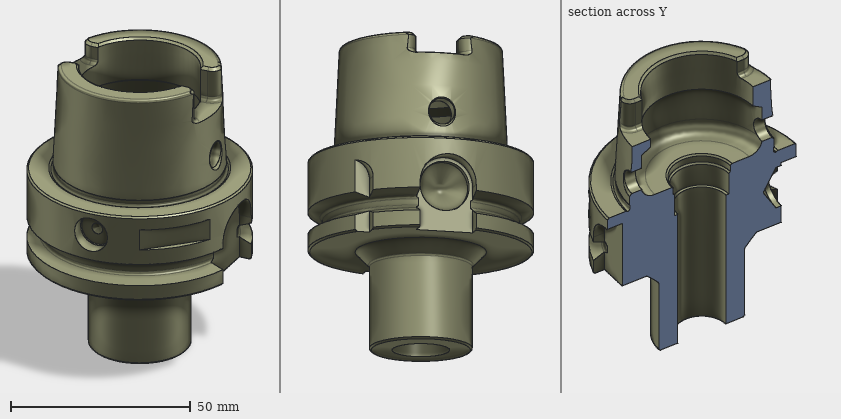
import cadquery as cq
import math

overall_height = 86.0
flange_bottom_z = 28.0
flange_face_z = 54.0
taper_bottom_z = 55.7
cavity_floor_z = 55.9
coolant_seat_z = 45.6

taper_bottom_radius = 24.25
taper_ratio = 0.05
taper_top_radius = taper_bottom_radius - taper_ratio * (overall_height - taper_bottom_z)
rim_rounding = 0.9
bore_radius = 17.0
bore_chamfer = 0.7
bore_bottom_z = 73.1
clamp_radius = 20.0
clamp_angle = 30.0
cavity_corner_radius = 4.3

neck_radius = 24.0
neck_chamfer = taper_bottom_radius - neck_radius
relief_top_z = 54.5
relief_width = 0.8
relief_depth = 0.35
relief_outer_radius = 25.4

flange_diameter = 63.0
flange_radius = flange_diameter / 2
flange_chamfer = 0.5
groove_upper_z = 39.3
groove_lower_z = 32.8
groove_root_radius = 27.5
groove_flank_rise = 1.7
groove_root_fillet = 1.0

stub_radius = 14.4
stub_chamfer = 0.5
cone_top_radius = 18.3
cone_height = cone_top_radius - stub_radius
stub_fillet = 0.9

passage_radius = 8.0
thread_radius = 8.95
thread_relief_radius = 9.5
thread_relief_depth = 2.6
passage_mouth_radius = 10.0

notch_half_width = 6.2
notch_straight_x = 18.1
notch_corner_radius = 2.9
notch_floor_fillet = 1.4
notch_chamfer_taper = -45.0
deep_notch_floor_z = 75.9
shallow_notch_floor_z = 80.0

cross_hole_z = 63.1
cross_hole_radius = 3.7
cross_hole_chamfer = 0.5

keyway_center_z = 41.0
keyway_floor_x = 26.5
narrow_keyway_radius = 8.1
wide_keyway_radius = 9.0
keyway_drill_radius = 7.05
keyway_drill_depth = 1.7
drill_point_angle = 118.0

orientation_floor_x = 20.2
orientation_center_y = 25.5
orientation_center_z = 43.2
orientation_radius = 5.5

pocket_z = 47.0
pocket_radius = 5.1
pocket_depth = 4.5
pocket_corner_chamfer = 0.3
pocket_mark_radius = 1.6
label_distance = 29.75
label_bottom_z = 43.9
label_height = 6.2
label_angle = -45.0

clearance = 8.6
selection_margin = 0.1


def drill_tip_depth(radius):
    """Height of the conical tip left by a drill of the given radius."""
    return radius / math.tan(math.radians(drill_point_angle / 2))


def revolve_profile(outline):
    """Turn a closed (radius, height) outline about the Z axis."""
    return outline.close().revolve(360, (0, 0, 0), (0, 1, 0))


def ring_selector(radius, z):
    """Select the circular edge of the given radius at height z."""
    reach = radius + selection_margin
    return cq.selectors.BoxSelector(
        (-reach, -reach, z - selection_margin),
        (reach, reach, z + selection_margin),
        boundingbox=True,
    )


def make_body():
    """Solid turned shape, from the stub to the rounded rim."""
    relief_bottom_z = flange_face_z - relief_depth
    relief_inner_radius = neck_radius + relief_width
    relief_drop = relief_top_z - relief_bottom_z
    arc_middle = (
        relief_inner_radius - relief_width * math.cos(math.pi / 4),
        relief_top_z - relief_drop * math.sin(math.pi / 4),
    )
    body = revolve_profile(
        cq.Workplane("YZ")
        .moveTo(0, 0)
        .lineTo(stub_radius - stub_chamfer, 0)
        .lineTo(stub_radius, stub_chamfer)
        .lineTo(stub_radius, flange_bottom_z - cone_height)
        .lineTo(cone_top_radius, flange_bottom_z)
        .lineTo(flange_radius - flange_chamfer, flange_bottom_z)
        .lineTo(flange_radius, flange_bottom_z + flange_chamfer)
        .lineTo(flange_radius, groove_lower_z)
        .lineTo(groove_root_radius, groove_lower_z + groove_flank_rise)
        .lineTo(groove_root_radius, groove_upper_z - groove_flank_rise)
        .lineTo(flange_radius, groove_upper_z)
        .lineTo(flange_radius, flange_face_z - flange_chamfer)
        .lineTo(flange_radius - flange_chamfer, flange_face_z)
        .lineTo(relief_outer_radius, flange_face_z)
        .lineTo(relief_inner_radius, relief_bottom_z)
        .threePointArc(arc_middle, (neck_radius, relief_top_z))
        .lineTo(neck_radius, taper_bottom_z - neck_chamfer)
        .lineTo(taper_bottom_radius, taper_bottom_z)
        .lineTo(taper_top_radius, overall_height)
        .lineTo(0, overall_height)
    )
    body = body.faces(">Z").edges().fillet(rim_rounding)
    root_low = groove_lower_z + groove_flank_rise
    root_high = groove_upper_z - groove_flank_rise
    body = body.edges(ring_selector(groove_root_radius, root_low)).fillet(groove_root_fillet)
    body = body.edges(ring_selector(groove_root_radius, root_high)).fillet(groove_root_fillet)
    return body.edges(ring_selector(stub_radius, flange_bottom_z - cone_height)).fillet(stub_fillet)


def make_cavity():
    """Chamfered bore, clamping undercut and rounded floor of the hollow shank."""
    clamp_drop = (clamp_radius - bore_radius) * math.tan(math.radians(clamp_angle))
    corner_middle = (
        clamp_radius - cavity_corner_radius * (1 - math.cos(math.pi / 4)),
        cavity_floor_z + cavity_corner_radius * (1 - math.sin(math.pi / 4)),
    )
    return revolve_profile(
        cq.Workplane("YZ")
        .moveTo(0, cavity_floor_z)
        .lineTo(clamp_radius - cavity_corner_radius, cavity_floor_z)
        .threePointArc(corner_middle, (clamp_radius, cavity_floor_z + cavity_corner_radius))
        .lineTo(clamp_radius, bore_bottom_z - clamp_drop)
        .lineTo(bore_radius, bore_bottom_z)
        .lineTo(bore_radius, overall_height - bore_chamfer)
        .lineTo(bore_radius + bore_chamfer, overall_height)
        .lineTo(0, overall_height)
    )


def make_passage():
    """Through passage with the coolant-tube thread below the cavity floor."""
    relief_bottom_z = cavity_floor_z - thread_relief_depth
    mouth_chamfer = passage_mouth_radius - thread_relief_radius
    thread_chamfer = thread_relief_radius - thread_radius
    return revolve_profile(
        cq.Workplane("YZ")
        .moveTo(0, 0)
        .lineTo(passage_radius, 0)
        .lineTo(passage_radius, coolant_seat_z)
        .lineTo(thread_radius, coolant_seat_z)
        .lineTo(thread_radius, relief_bottom_z - thread_chamfer)
        .lineTo(thread_relief_radius, relief_bottom_z)
        .lineTo(thread_relief_radius, cavity_floor_z - mouth_chamfer)
        .lineTo(passage_mouth_radius, cavity_floor_z)
        .lineTo(0, cavity_floor_z)
    )


def draw_notch_outline(side, z):
    """Closed notch outline whose walls end in rounded corners facing outward."""
    flare_x = notch_straight_x + notch_corner_radius
    flare_y = notch_half_width + notch_corner_radius
    arc_x = notch_straight_x + notch_corner_radius * math.sin(math.pi / 4)
    arc_y = flare_y - notch_corner_radius * math.cos(math.pi / 4)
    outer = taper_bottom_radius + clearance
    return (
        cq.Workplane("XY", origin=(0, 0, z))
        .moveTo(0, -notch_half_width)
        .lineTo(side * notch_straight_x, -notch_half_width)
        .threePointArc((side * arc_x, -arc_y), (side * flare_x, -flare_y))
        .lineTo(side * flare_x, -outer)
        .lineTo(side * outer, -outer)
        .lineTo(side * outer, outer)
        .lineTo(side * flare_x, outer)
        .lineTo(side * flare_x, flare_y)
        .threePointArc((side * arc_x, arc_y), (side * notch_straight_x, notch_half_width))
        .lineTo(0, notch_half_width)
        .close()
    )


def make_drive_notch(side, floor_z):
    """Rim notch on the +X or -X side with a filleted floor and chamfered top edges."""
    chamfer_z = overall_height - rim_rounding
    notch = draw_notch_outline(side, floor_z).extrude(overall_height - floor_z)
    notch = notch.faces("<Z").edges().fillet(notch_floor_fillet)
    flare = draw_notch_outline(side, chamfer_z).extrude(rim_rounding, taper=notch_chamfer_taper)
    return notch.union(flare)


def make_cross_hole():
    """Hole along X through both walls of the shank, with chamfered mouths."""
    surface_x = taper_bottom_radius - taper_ratio * (cross_hole_z - taper_bottom_z)
    inner_x = surface_x - cross_hole_chamfer
    outer_x = surface_x + cross_hole_chamfer
    mouth_radius = cross_hole_radius + 2 * cross_hole_chamfer
    return (
        cq.Workplane("XY")
        .moveTo(-outer_x, 0)
        .lineTo(-outer_x, mouth_radius)
        .lineTo(-inner_x, cross_hole_radius)
        .lineTo(inner_x, cross_hole_radius)
        .lineTo(outer_x, mouth_radius)
        .lineTo(outer_x, 0)
        .close()
        .revolve(360, (0, 0, 0), (1, 0, 0))
        .translate((0, 0, cross_hole_z))
    )


def make_round_top_slot(side, floor_x, center_y, center_z, radius):
    """Slot cut inward along X: round at the top, open at the flange bottom."""
    length = flange_radius + clearance - floor_x
    height = center_z - flange_bottom_z
    base = cq.Workplane("YZ", origin=(side * floor_x, center_y, center_z))
    dome = base.circle(radius).extrude(side * length)
    legs = base.center(0, -height / 2).rect(2 * radius, height).extrude(side * length)
    return dome.union(legs)


def make_drilled_hole(center, direction, radius, depth):
    """Blind hole with a conical drill point; depth is that of the straight part."""
    straight = cq.Solid.makeCylinder(radius, depth, center, direction)
    point = cq.Solid.makeCone(radius, 0, drill_tip_depth(radius), center + direction * depth, direction)
    return cq.Workplane(straight).union(cq.Workplane(point))


def make_pocket():
    """Round pocket on the -Y side: flat floor, chamfered corner and small center mark."""
    inward = cq.Vector(0, 1, 0)
    mouth_y = -flange_radius
    floor = cq.Vector(0, mouth_y + pocket_depth, pocket_z)
    pocket = cq.Workplane(
        cq.Solid.makeCylinder(pocket_radius, pocket_depth, cq.Vector(0, mouth_y, pocket_z), inward)
    )
    pocket = pocket.faces(">Y").edges().chamfer(pocket_corner_chamfer)
    mark = cq.Solid.makeCone(pocket_mark_radius, 0, drill_tip_depth(pocket_mark_radius), floor, inward)
    return pocket.union(cq.Workplane(mark))


def make_label_flat():
    """Flat on the flange, facing between +X and -Y."""
    return (
        cq.Workplane("XY", origin=(0, 0, label_bottom_z))
        .center(label_distance + clearance / 2, 0)
        .rect(clearance, 2 * flange_radius)
        .extrude(label_height)
        .rotate((0, 0, 0), (0, 0, 1), label_angle)
    )


keyway_floor_center = cq.Vector(-keyway_floor_x, 0, keyway_center_z)
cutters = [
    make_drive_notch(-1, shallow_notch_floor_z),
    make_drive_notch(1, deep_notch_floor_z),
    make_cavity(),
    make_passage(),
    make_cross_hole(),
    make_round_top_slot(-1, keyway_floor_x, 0, keyway_center_z, narrow_keyway_radius),
    make_round_top_slot(1, keyway_floor_x, 0, keyway_center_z, wide_keyway_radius),
    make_round_top_slot(
        -1, orientation_floor_x, orientation_center_y, orientation_center_z, orientation_radius
    ),
    make_drilled_hole(keyway_floor_center, cq.Vector(1, 0, 0), keyway_drill_radius, keyway_drill_depth),
    make_pocket(),
    make_label_flat(),
]

body = make_body()
for cutter in cutters:
    body = body.cut(cutter)

result = body.solids()